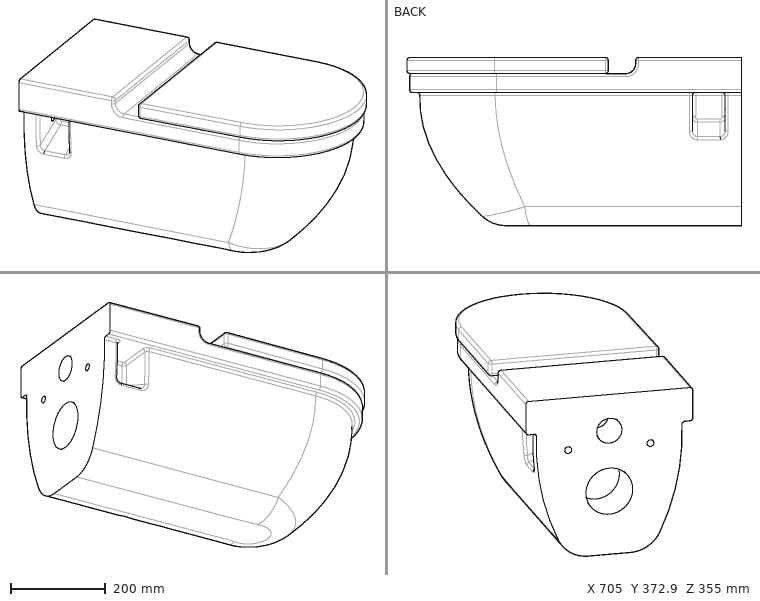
import cadquery as cq
import math

total_length = 705.0
total_height = 355.0
edge_radius = 6.0

rim_length = 699.5
rim_half_width = 183.0
rim_bottom = 281.0
seat_level = 321.0
tank_length = 223.5
step_radius = 20.5

lid_rear = 281.0
lid_left_half_width = 185.5
lid_right_rear_half_width = 187.5
lid_right_front_half_width = 185.0
lid_arc_start = 520.5

hull_half_width = 159.5
flank_radius = 494.0
flank_widest_level = 254.0
nose_top = 678.5
nose_bottom = 525.0
nose_front_level = 268.0
underside_radius = 72.0
neck_radius = 5.5
hull_section_count = 9

hole_depth = 106.0
inlet_diameter = 55.0
inlet_level = 274.0
outlet_diameter = 102.0
outlet_level = 140.0
bolt_diameter = 15.0
bolt_spacing = 180.0
bolt_level = 239.0

pocket_start = 34.5
pocket_end = 104.0
pocket_inner = 70.5
pocket_mouth_floor = 186.0
pocket_inner_floor = 220.0
pocket_floor_radius = 10.5
pocket_wall_radius = 7.0
pocket_mouth_radius = 6.0


def d_outline(length, half_width):
    """Straight-sided outline with a flat rear at X = 0 and a half-round front."""
    arc_start = length - half_width
    return (
        cq.Workplane("XY")
        .moveTo(0, -half_width)
        .lineTo(arc_start, -half_width)
        .threePointArc((length, 0), (arc_start, half_width))
        .lineTo(0, half_width)
        .close()
    )


def make_rim():
    """Rim slab and tank block in one, with rounded long edges and a sharp wall face."""
    rim = d_outline(rim_length, rim_half_width).extrude(total_height - rim_bottom)
    rim = rim.translate((0, 0, rim_bottom))
    above_seat = (
        cq.Workplane("XZ")
        .moveTo(tank_length, total_height + step_radius)
        .lineTo(tank_length, seat_level + step_radius)
        .radiusArc((tank_length + step_radius, seat_level), -step_radius)
        .lineTo(total_length, seat_level)
        .lineTo(total_length, total_height + step_radius)
        .close()
        .extrude(total_length, both=True)
    )
    rim = rim.cut(above_seat)
    long_edges = "not (<X or |Z or |Y)"
    tank_front_edge = "(>Z and |Y) exc <X"
    return rim.edges(f"({long_edges}) or ({tank_front_edge})").fillet(edge_radius)


def flank_half_width(level):
    """Half width of the hull at a level, along the flank arc."""
    drop = level - flank_widest_level
    return hull_half_width - flank_radius + math.sqrt(flank_radius**2 - drop**2)


def hull_nose(level):
    """X of the hull front at a level, along the nose parabola."""
    drop = (nose_front_level - level) / nose_front_level
    return nose_top - (nose_top - nose_bottom) * drop**2


def make_hull():
    """Hull as a loft of D-shaped sections, with one radius all round the underside."""
    sections = []
    for index in range(hull_section_count):
        level = rim_bottom * index / (hull_section_count - 1)
        outline = d_outline(hull_nose(level), flank_half_width(level))
        sections.append(outline.translate((0, 0, level)).wires().val())
    hull = cq.Workplane(cq.Solid.makeLoft(sections))
    return hull.faces("<Z").edges("not <X").fillet(underside_radius)


def wall_hole(diameter, level, depth, across=0.0):
    """Round cutter that runs from the wall face into the toilet."""
    return (
        cq.Workplane("YZ")
        .center(across, level)
        .circle(diameter / 2)
        .extrude(depth)
    )


def pocket_cutter():
    """Side pocket on the -Y side; its floor rises inwards and its inner edges are rounded."""
    mouth = -flank_half_width(pocket_mouth_floor)
    floor_slope = (pocket_inner_floor - pocket_mouth_floor) / (-pocket_inner - mouth)
    outer_floor = pocket_mouth_floor + floor_slope * (-rim_half_width - mouth)
    cutter = (
        cq.Workplane("YZ", origin=(pocket_start, 0, 0))
        .moveTo(-rim_half_width, total_height)
        .lineTo(-pocket_inner, total_height)
        .lineTo(-pocket_inner, pocket_inner_floor)
        .lineTo(-rim_half_width, outer_floor)
        .close()
        .extrude(pocket_end - pocket_start)
    )
    cutter = cutter.faces("<Z").edges("not (|X or |Z)").fillet(pocket_floor_radius)
    return cutter.faces(">Y").edges("not >Z").fillet(pocket_wall_radius)


def cut_pocket(hull, side):
    """Cut the pocket into one flank (side -1 or 1) and round its mouth."""
    cutter = pocket_cutter()
    if side > 0:
        cutter = cutter.mirror("XZ")
    hull = hull.cut(cutter)
    around_mouth = cq.selectors.BoxSelector(
        (0, side * flank_half_width(outlet_level), outlet_level),
        (rim_length, side * (hull_half_width + pocket_mouth_radius), rim_bottom - pocket_mouth_radius),
    )
    return hull.edges(around_mouth).fillet(pocket_mouth_radius)


def make_toilet():
    """Rim and hull as one solid, with the neck rounded and the holes and pockets cut."""
    hull = make_hull()
    for side in (-1, 1):
        hull = cut_pocket(hull, side)
    toilet = make_rim().union(hull)
    neck = cq.selectors.BoxSelector(
        (edge_radius, -hull_half_width - neck_radius, rim_bottom - neck_radius),
        (nose_top + neck_radius, hull_half_width + neck_radius, rim_bottom + neck_radius),
    )
    toilet = toilet.edges(neck).fillet(neck_radius)

    toilet = toilet.cut(wall_hole(inlet_diameter, inlet_level, hole_depth))
    toilet = toilet.cut(wall_hole(outlet_diameter, outlet_level, hole_depth))
    bolt_depth = (pocket_start + pocket_end) / 2
    for side in (-1, 1):
        bolt_hole = wall_hole(bolt_diameter, bolt_level, bolt_depth, side * bolt_spacing / 2)
        toilet = toilet.cut(bolt_hole)
    return toilet


def make_lid():
    """Seat lid, rounded on every edge; its -Y side tapers slightly to the front."""
    lid = (
        cq.Workplane("XY", origin=(0, 0, seat_level))
        .moveTo(lid_rear, -lid_right_rear_half_width)
        .lineTo(lid_arc_start, -lid_right_front_half_width)
        .threePointArc((total_length, 0), (lid_arc_start, lid_left_half_width))
        .lineTo(lid_rear, lid_left_half_width)
        .close()
        .extrude(total_height - seat_level)
    )
    lid = lid.edges("<X and |Z").fillet(edge_radius)
    return lid.faces("<Z or >Z").edges().fillet(edge_radius)


toilet = make_toilet()
lid = make_lid()
result = cq.Compound.makeCompound([toilet.solids().val(), lid.solids().val()])